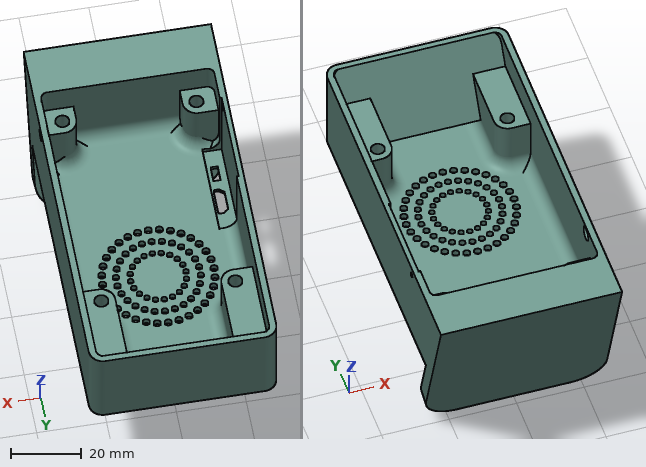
import cadquery as cq
import math

WIDTH = 53.7
LENGTH = 107.8
TOTAL_HEIGHT = 51.4
BODY_HEIGHT = 26.9
TILT = math.radians(18)
PLATE_THICKNESS = 5.0
PLATE_CORNER_RADIUS = 10.0
BACK_CORNER_RADIUS = 4.0

WALL = 2.0
BACK_WALL = 1.8
FLOOR_THICKNESS = 2.0
CAVITY_FRONT = 14.8
CAVITY_CORNER_RADIUS = 2.0
BASE_FILLET = 4.0
CAVITY_HALF_WIDTH = WIDTH / 2 - WALL
CAVITY_BACK = LENGTH - BACK_WALL
CAVITY_DEPTH = BODY_HEIGHT - FLOOR_THICKNESS
RAMP_RUN = 12.5

SUPPORT_DEPTH = 9.0
SUPPORT_RADIUS = 4.0
SCREW_X = 19.2
FRONT_SCREW_Y = 19.2
REAR_SCREW_Y = 81.4
SCREW_DIAMETER = 4.0
SUPPORT_INNER_X = SCREW_X - SUPPORT_RADIUS

GRILLE_Y = 65.3
GRILLE_RINGS = [
    (8.0, 1.6, 20, 2.0),
    (12.0, 1.8, 26, 5.7),
    (16.0, 2.0, 32, 0.0),
]

RECESS_LEFT = -25.3
RECESS_RIGHT = -19.8
RECESS_FRONT = 25.2
RECESS_BACK = 52.4
RECESS_STEP = 1.0
HDMI_Y = 42.6
HDMI_LEFT = -23.6
HDMI_SHOULDER = -22.1
HDMI_RIGHT = -20.6
HDMI_NARROW_HALF = 2.9
HDMI_WIDE_HALF = 4.1
HDMI_ROUNDING = 0.5
USB_X = -22.2
USB_Y = 33.1
USB_WIDTH = 2.0
USB_LENGTH = 4.7

SIDE_HOLE_Y = 26.9
SIDE_HOLE_DEPTH = 2.8
PLAIN_HOLE_DIAMETER = 1.4
BORED_HOLE_DIAMETER = 3.3
COUNTERBORE_DIAMETER = 4.2
COUNTERBORE_DEPTH = 1.2


def block(x0, x1, y0, y1, z0, z1):
    """Box between two opposite corners."""
    return cq.Workplane("XY").box(x1 - x0, y1 - y0, z1 - z0, centered=False).translate((x0, y0, z0))


def along_x(points, half_width):
    """Closed (Y, Z) outline extruded symmetrically about X = 0."""
    return cq.Workplane("YZ").polyline(points).close().extrude(half_width, both=True)


def make_body():
    """Block with a leaning front face that runs on downward as a plate."""
    slope = math.tan(TILT)
    back_offset = PLATE_THICKNESS / math.cos(TILT)
    tip_y = TOTAL_HEIGHT * slope
    heel_y = tip_y + PLATE_THICKNESS * math.cos(TILT)
    heel_z = -TOTAL_HEIGHT + PLATE_THICKNESS * math.sin(TILT)
    outline = [
        (0, 0),
        (tip_y, -TOTAL_HEIGHT),
        (heel_y, heel_z),
        (BODY_HEIGHT * slope + back_offset, -BODY_HEIGHT),
        (LENGTH, -BODY_HEIGHT),
        (LENGTH, 0),
    ]
    body = along_x(outline, WIDTH / 2)
    body = body.edges("|Z and >Y").fillet(BACK_CORNER_RADIUS)
    for side in (-1, 1):
        corner = cq.selectors.NearestToPointSelector(
            (side * WIDTH / 2, (tip_y + heel_y) / 2, (heel_z - TOTAL_HEIGHT) / 2)
        )
        body = body.edges(corner).fillet(PLATE_CORNER_RADIUS)
    return body


def make_support(side, y0, y1, rounded_y):
    """Block from the side wall inward, rounded at its free corner."""
    x0, x1 = sorted((side * SUPPORT_INNER_X, side * WIDTH / 2))
    support = block(x0, x1, y0, y1, -BODY_HEIGHT, -SUPPORT_DEPTH)
    corner = cq.selectors.NearestToPointSelector(
        (side * SUPPORT_INNER_X, rounded_y, -(BODY_HEIGHT + SUPPORT_DEPTH) / 2)
    )
    return support.edges(corner).fillet(SUPPORT_RADIUS)


def make_foot(side):
    """Round flared foot of a front support."""
    foot_radius = SUPPORT_RADIUS + BASE_FILLET
    middle = BASE_FILLET * (1 - math.sqrt(0.5))
    profile = (
        cq.Workplane("XZ")
        .lineTo(foot_radius, 0)
        .threePointArc((SUPPORT_RADIUS + middle, middle), (SUPPORT_RADIUS, BASE_FILLET))
        .lineTo(0, BASE_FILLET)
        .close()
    )
    foot = profile.revolve(360, (0, 0, 0), (0, 1, 0))
    return foot.translate((side * SCREW_X, FRONT_SCREW_Y, -CAVITY_DEPTH))


def make_cavity():
    """Hollow of the body, with everything that stands inside it left out."""
    limits = (-CAVITY_HALF_WIDTH, CAVITY_HALF_WIDTH, CAVITY_FRONT, CAVITY_BACK, -CAVITY_DEPTH, 0)
    cavity = block(*limits)
    rear_start = REAR_SCREW_Y - SUPPORT_RADIUS
    for side in (-1, 1):
        cavity = cavity.cut(make_support(side, rear_start, LENGTH, rear_start))
    cavity = cavity.faces("<Z").edges().fillet(BASE_FILLET)
    cavity = cavity.intersect(block(*limits).edges("|Z").fillet(CAVITY_CORNER_RADIUS))

    ramp_bottom = BASE_FILLET - CAVITY_DEPTH
    ramp = [(CAVITY_BACK, 0), (CAVITY_BACK - RAMP_RUN, ramp_bottom), (CAVITY_BACK, ramp_bottom)]
    cavity = cavity.cut(along_x(ramp, WIDTH / 2))

    front_end = FRONT_SCREW_Y + SUPPORT_RADIUS
    for side in (-1, 1):
        cavity = cavity.cut(make_support(side, CAVITY_FRONT, front_end, front_end))
        cavity = cavity.cut(make_foot(side))
    return cavity


def make_screw_holes():
    """Rear holes run through the floor, front holes stop at floor level."""
    sides = [-SCREW_X, SCREW_X]
    radius = SCREW_DIAMETER / 2
    rear = cq.Workplane("XY").pushPoints([(x, REAR_SCREW_Y) for x in sides])
    front = cq.Workplane("XY").pushPoints([(x, FRONT_SCREW_Y) for x in sides])
    return rear.circle(radius).extrude(-BODY_HEIGHT).union(front.circle(radius).extrude(-CAVITY_DEPTH))


def make_grille_ring(ring_radius, diameter, count, first_angle):
    """One ring of round holes through the floor."""
    return (
        cq.Workplane("XY", origin=(0, GRILLE_Y, -BODY_HEIGHT))
        .polarArray(ring_radius, first_angle, 360, count)
        .circle(diameter / 2)
        .extrude(FLOOR_THICKNESS)
    )


def make_connector_recess():
    """Recess open to the rim, with an HDMI and a USB opening in its floor."""
    recess_floor = -CAVITY_DEPTH - RECESS_STEP
    recess = block(RECESS_LEFT, RECESS_RIGHT, RECESS_FRONT, RECESS_BACK, recess_floor, 0)
    hdmi_outline = [
        (HDMI_LEFT, HDMI_Y - HDMI_NARROW_HALF),
        (HDMI_SHOULDER, HDMI_Y - HDMI_WIDE_HALF),
        (HDMI_RIGHT, HDMI_Y - HDMI_WIDE_HALF),
        (HDMI_RIGHT, HDMI_Y + HDMI_WIDE_HALF),
        (HDMI_SHOULDER, HDMI_Y + HDMI_WIDE_HALF),
        (HDMI_LEFT, HDMI_Y + HDMI_NARROW_HALF),
    ]
    hdmi = cq.Workplane("XY").polyline(hdmi_outline).close().extrude(-BODY_HEIGHT)
    hdmi = hdmi.edges("|Z and >X").fillet(HDMI_ROUNDING)
    usb = cq.Workplane("XY").center(USB_X, USB_Y).rect(USB_WIDTH, USB_LENGTH).extrude(-BODY_HEIGHT)
    return recess.union(hdmi).union(usb)


def make_side_holes():
    """Cross holes on one axis, each starting at the middle of the cavity."""
    axis = cq.Workplane("YZ").center(SIDE_HOLE_Y, -SIDE_HOLE_DEPTH)
    plain = axis.circle(PLAIN_HOLE_DIAMETER / 2).extrude(-WIDTH / 2)
    bored = axis.circle(BORED_HOLE_DIAMETER / 2).extrude(WIDTH / 2)
    counterbore = axis.circle(COUNTERBORE_DIAMETER / 2).extrude(CAVITY_HALF_WIDTH + COUNTERBORE_DEPTH)
    return plain.union(bored).union(counterbore)


result = make_body().cut(make_cavity())
result = result.cut(make_connector_recess())
result = result.cut(make_screw_holes())
result = result.cut(make_side_holes())
for ring in GRILLE_RINGS:
    result = result.cut(make_grille_ring(*ring))